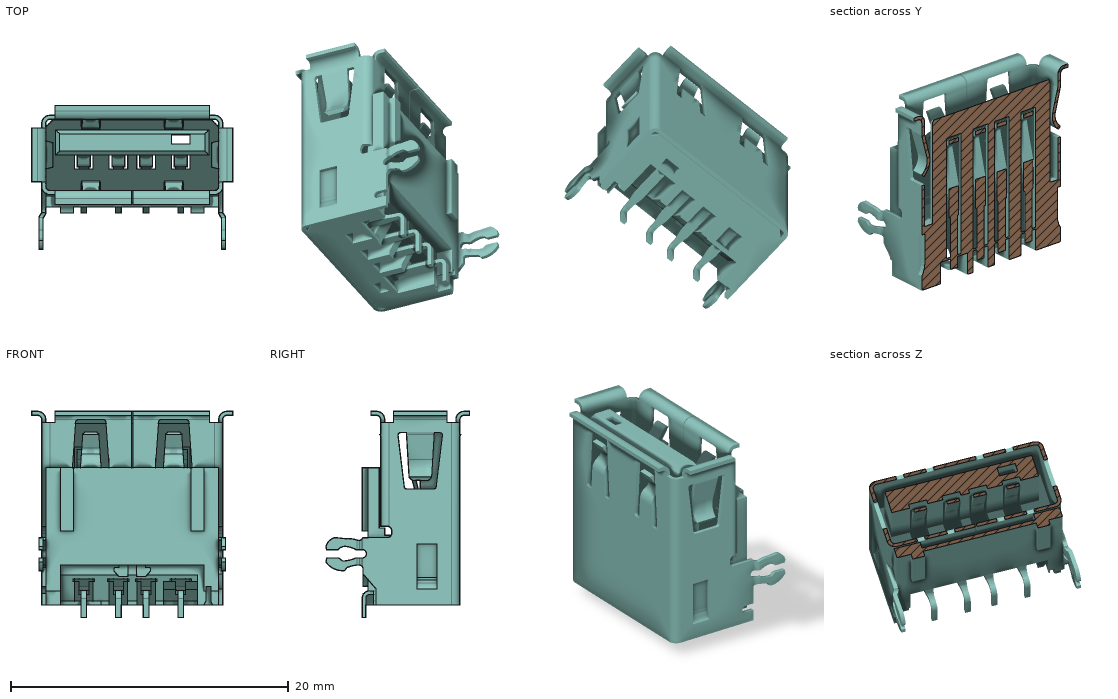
import cadquery as cq
import math


SHEET = 0.30
SHELL_X = 6.53
SHELL_Y = 2.86
WALL_X = SHELL_X - SHEET
WALL_Y = SHELL_Y - SHEET
SHELL_TOP = 13.17
CORNER_RADIUS = 0.60
FRONT_WALL_BOTTOM = 5.67
SEAM_WIDTH = 0.08

FLANGE_TOP = 13.97
FLANGE_REACH_X = 7.25
FLANGE_REACH_Y = 3.56
FLANGE_HALF_X = 5.58
FLANGE_HALF_Y = 1.94
FLANGE_BEND = 0.45

PLATE_FRONT = -4.14
PLATE_TOP = 4.86
RELIEF_BACK = -2.07
NOTCH_BACK = -3.18
NOTCH_BOTTOM = 0.82
NOTCH_TOP = 1.35
CUTBACK_TOP = 2.25
CUTBACK_BOTTOM = 1.15

SIDE_WINDOW_TOP = 12.42
SIDE_WINDOW_BOTTOM = 8.37
SIDE_WINDOW_HALF_TOP = 1.62
SIDE_WINDOW_HALF_BOTTOM = 1.13
FACE_WINDOW_X = 2.99
FACE_WINDOW_TOP = 13.36
FACE_WINDOW_BOTTOM = 8.40
FACE_WINDOW_HALF_TOP = 1.08
FACE_WINDOW_HALF_BOTTOM = 1.43
WINDOW_RADIUS = 0.18

LANCE_BOTTOM = 1.17
LANCE_TOP = 4.40
LANCE_BACK = 1.20
LANCE_FRONT = -0.22

LEG_OFFSET = 0.20
LEG_TIP = -6.81
LEG_SLOT_LOW = 3.40
LEG_SLOT_HIGH = 3.98
LEG_SLOT_RADIUS = (LEG_SLOT_HIGH - LEG_SLOT_LOW) / 2
LEG_SLOT_END = -3.89 - LEG_SLOT_RADIUS

BASE_TOP = 5.04
BASE_BACK = 2.52
TONGUE_X = 5.53
TONGUE_BACK = 1.81
TONGUE_FRONT = -0.02
TONGUE_TOP = 13.48
TONGUE_CHAMFER = 0.30
TONGUE_CHAMFER_RISE = 0.41
HOLE_FRONT = 0.80
HOLE_BACK = 1.45

COVER_FRONT = -3.77
COVER_BACK = -2.95
COVER_TOP = 9.90
COVER_JOIN = 5.56
COVER_WEB_BACK = -3.45
COVER_WEB_HALF = 4.24
RECESS_HALF = 5.18
RECESS_TOP = 2.88
FOOT_FRONT = -3.37
FOOT_STEP = 1.00
RIB_WIDTH = 0.95
RIB_FRONT = -4.20
RIB_BOTTOM = 5.32

UNDERCUT_TOP = 2.18
UNDERCUT_BACK = -1.42
UNDERCUT_END = 4.72
RIM_HEIGHT = 0.28
RIM_INNER = 2.25
RIM_FRONT = -1.50
RIM_DEPTH = 0.25
POCKET_STEP = 1.11
POCKET_BACK = 0.60

CONTACT_X = (-3.49, -1.0, 1.0, 3.49)
CONTACT_SHEET = 0.27
CONTACT_WIDTH = 0.95
STEM_WIDTH = 0.72
PIN_WIDTH = 0.42
PIN_FRONT = -4.20
PIN_BOTTOM = FLANGE_TOP - 14.88
TAIL_TOP = 1.03
STEM_Y = 0.25
SLOT_WIDTH = 1.32
SLOT_FRONT = -1.01
SLOT_BACK = 0.30
SLOT_TOP = 11.40
MOUTH_TOP = 1.70
SHOULDER_TOP = 1.88
SHOULDER_WIDTH = 1.55


def box(x0, x1, y0, y1, z0, z1):
    size = (x1 - x0, y1 - y0, z1 - z0)
    return cq.Workplane("XY").box(*size, centered=False).translate((x0, y0, z0))


def mirrored_x(shape):
    return shape.union(shape.mirror("YZ"))


def mirrored_y(shape):
    return shape.union(shape.mirror("XZ"))


def unit(start, end):
    length = math.dist(start, end)
    return ((end[0] - start[0]) / length, (end[1] - start[1]) / length)


def bent_strip(plane, points, radii, thickness, width):
    """Sheet strip along a polyline; each inner corner is bent to its mid-sheet radius."""
    headings = [unit(a, b) for a, b in zip(points, points[1:])]

    def side(offset):
        def shift(point, heading, distance):
            return (point[0] - heading[1] * distance, point[1] + heading[0] * distance)

        path = [[shift(points[0], headings[0], offset)]]
        for corner, before, after, radius in zip(points[1:-1], headings, headings[1:], radii):
            turn = math.atan2(
                before[0] * after[1] - before[1] * after[0],
                before[0] * after[0] + before[1] * after[1],
            )
            run = radius * math.tan(abs(turn) / 2)
            start = (corner[0] - before[0] * run, corner[1] - before[1] * run)
            end = (corner[0] + after[0] * run, corner[1] + after[1] * run)
            center = shift(start, before, math.copysign(radius, turn))
            bisector = unit(center, corner)
            bend = radius - offset * math.copysign(1, turn)
            middle = (center[0] + bisector[0] * bend, center[1] + bisector[1] * bend)
            path.append([shift(start, before, offset), middle, shift(end, after, offset)])
        path.append([shift(points[-1], headings[-1], offset)])
        return path

    left = side(thickness / 2)
    right = [step[::-1] for step in side(-thickness / 2)[::-1]]
    sketch = cq.Workplane(plane).moveTo(*left[0][0])
    for step in left[1:] + right:
        sketch = sketch.lineTo(*step[0])
        if len(step) == 3:
            sketch = sketch.threePointArc(step[1], step[2])
    return sketch.close().extrude(width / 2, both=True)



def shell_tube():
    outer = box(-SHELL_X, SHELL_X, -SHELL_Y, SHELL_Y, 0, SHELL_TOP).edges("|Z").fillet(CORNER_RADIUS)
    inner = box(-WALL_X, WALL_X, -WALL_Y, WALL_Y, 0, SHELL_TOP).edges("|Z").fillet(CORNER_RADIUS - SHEET)
    tube = outer.cut(inner)
    lower_front = box(-SHELL_X, SHELL_X, -SHELL_Y, CORNER_RADIUS - SHELL_Y, 0, FRONT_WALL_BOTTOM)
    relief = box(-SHELL_X, SHELL_X, -SHELL_Y - 1, RELIEF_BACK, PLATE_TOP, FRONT_WALL_BOTTOM)
    relief = relief.edges(">Y and |X").fillet(SHEET)
    return tube.cut(lower_front).cut(relief)


def flanges():
    mid_z = FLANGE_TOP - SHEET / 2
    mid_y = SHELL_Y - SHEET / 2
    mid_x = SHELL_X - SHEET / 2
    start = SHELL_TOP - SHEET
    back = bent_strip(
        "YZ", [(mid_y, start), (mid_y, mid_z), (FLANGE_REACH_Y, mid_z)],
        [FLANGE_BEND], SHEET, 2 * FLANGE_HALF_X,
    )
    side = bent_strip(
        "XZ", [(mid_x, start), (mid_x, mid_z), (FLANGE_REACH_X, mid_z)],
        [FLANGE_BEND], SHEET, 2 * FLANGE_HALF_Y,
    )
    return mirrored_y(back).union(mirrored_x(side))


def trapezoid(plane, half_bottom, half_top, bottom, top):
    """Upright trapezoidal prism running right through the shell, centred on the plane."""
    outline = [(-half_bottom, bottom), (half_bottom, bottom), (half_top, top), (-half_top, top)]
    return cq.Workplane(plane).polyline(outline).close().extrude(2 * SHELL_X, both=True)


def side_springs():
    """Spring fingers hanging in the side windows, bowed inward and curled out at the tip."""
    mid_x = SHELL_X - SHEET / 2
    root_z = SIDE_WINDOW_TOP + 0.18
    bow = (5.70, 9.70)
    tip = (6.42, 9.10)
    half_tip = 0.80
    half_root = 1.02
    lowest = 8.96
    tip_chamfer = 0.24
    path = [(mid_x, root_z), (mid_x, SIDE_WINDOW_TOP - 0.06), bow, tip]
    strip = bent_strip("XZ", path, [0.20, 1.35], SHEET, 2 * half_root + SHEET)
    outline = trapezoid("YZ", half_tip, half_root, lowest, root_z)
    outline = outline.edges("<Z and |X").chamfer(tip_chamfer)
    return mirrored_x(strip.intersect(outline))


def face_springs():
    """Spring fingers standing in the front and back windows, bowed inward and flared at the tip."""
    mid_y = SHELL_Y - SHEET / 2
    root_z = FACE_WINDOW_BOTTOM - 0.20
    bend_z = 10.48
    bow = (-1.85, 11.02)
    tip = (-2.80, 12.37)
    half_root = 0.86
    half_tip = 0.57
    highest = 12.48
    tip_chamfer = 0.16
    path = [(-mid_y, root_z), (-mid_y, bend_z), bow, tip]
    strip = bent_strip("YZ", path, [0.82, 0.43], SHEET, 2 * half_root + SHEET)
    outline = trapezoid("XZ", half_root, half_tip, root_z, highest)
    outline = outline.edges(">Z and |Y").chamfer(tip_chamfer)
    spring = strip.intersect(outline).translate((FACE_WINDOW_X, 0, 0))
    return mirrored_y(mirrored_x(spring))


def plate_notch():
    """Round-ended slot in the front edge of the -X side plate."""
    radius = (NOTCH_TOP - NOTCH_BOTTOM) / 2
    center_y = NOTCH_BACK - radius
    center_z = (NOTCH_TOP + NOTCH_BOTTOM) / 2
    round_end = cq.Workplane("YZ").center(center_y, center_z).circle(radius).extrude(-2 * SHELL_X)
    return round_end.union(box(-2 * SHELL_X, 0, 2 * PLATE_FRONT, center_y, NOTCH_BOTTOM, NOTCH_TOP))


def plate_cutback():
    """Sloped removal of the lower front corner of the +X side plate."""
    outline = [
        (PLATE_FRONT, 0), (NOTCH_BACK, 0), (NOTCH_BACK, CUTBACK_BOTTOM), (PLATE_FRONT, CUTBACK_TOP),
    ]
    return cq.Workplane("YZ").polyline(outline).close().extrude(2 * SHELL_X)


def side_plates():
    plate = box(WALL_X, SHELL_X, PLATE_FRONT, 0, 0, PLATE_TOP)
    return mirrored_x(plate).cut(plate_notch()).cut(plate_cutback())


def board_leg():
    """Two-pronged snap leg, jogged outward from the side plate."""
    root_y = -3.6
    root_bottom = 2.69
    tip_corner = LEG_TIP + 0.06
    outline = (
        cq.Workplane("YZ").moveTo(root_y, PLATE_TOP)
        .lineTo(PLATE_FRONT, PLATE_TOP)
        .threePointArc((-4.28, 4.70), (-4.50, 4.67))
        .threePointArc((-4.95, 4.78), (-5.40, 4.79))
        .lineTo(-6.15, 4.87)
        .threePointArc((-6.60, 4.60), (LEG_TIP, 4.20))
        .lineTo(tip_corner, LEG_SLOT_HIGH)
        .lineTo(-5.92, LEG_SLOT_HIGH)
        .threePointArc((-5.65, 4.18), (-5.40, 4.22))
        .threePointArc((-5.0, 4.14), (-4.62, LEG_SLOT_HIGH))
        .lineTo(LEG_SLOT_END, LEG_SLOT_HIGH)
        .lineTo(LEG_SLOT_END, LEG_SLOT_LOW)
        .lineTo(-4.65, LEG_SLOT_LOW)
        .threePointArc((-5.10, 3.24), (-5.60, 3.18))
        .lineTo(-5.88, LEG_SLOT_LOW)
        .lineTo(tip_corner, LEG_SLOT_LOW)
        .lineTo(LEG_TIP, 3.10)
        .threePointArc((-6.25, 2.62), (-5.46, 2.47))
        .lineTo(-5.28, 2.70)
        .threePointArc((-4.95, 2.80), (-4.50, 2.88))
        .threePointArc((-4.25, 2.82), (PLATE_FRONT, root_bottom))
        .lineTo(root_y, root_bottom).close().extrude(2 * SHELL_X)
    )
    mid_x = SHELL_X - SHEET / 2
    jog_start = PLATE_FRONT - 0.08
    jog_end = jog_start - 0.29
    bend = 0.2
    strip = bent_strip(
        "XY",
        [(mid_x, root_y), (mid_x, jog_start), (mid_x + LEG_OFFSET, jog_end),
         (mid_x + LEG_OFFSET, LEG_TIP)],
        [bend, bend], SHEET, 2 * PLATE_TOP,
    )
    return strip.intersect(outline)


def leg_slot():
    center_z = (LEG_SLOT_LOW + LEG_SLOT_HIGH) / 2
    return mirrored_x(
        cq.Workplane("YZ").center(LEG_SLOT_END, center_z).circle(LEG_SLOT_RADIUS).extrude(2 * SHELL_X)
    )


def lance_recess():
    """Side wall opening whose lower lip curves inward."""
    lip_top = LANCE_BOTTOM + 0.83
    lip_x = WALL_X + 0.03
    bevel_x = WALL_X + 0.10
    profile = (
        cq.Workplane("XZ").moveTo(SHELL_X, LANCE_TOP)
        .lineTo(WALL_X, LANCE_TOP)
        .lineTo(WALL_X, lip_top)
        .lineTo(lip_x, lip_top)
        .lineTo(lip_x, lip_top - 0.20)
        .lineTo(bevel_x, lip_top - 0.41)
        .threePointArc((WALL_X + 0.18, LANCE_BOTTOM + 0.18), (SHELL_X, LANCE_BOTTOM))
        .close().extrude(LANCE_BACK - LANCE_FRONT).translate((0, LANCE_BACK, 0))
    )
    return mirrored_x(profile)


def make_shell():
    shell = shell_tube().union(flanges())
    side_window = trapezoid(
        "YZ", SIDE_WINDOW_HALF_BOTTOM, SIDE_WINDOW_HALF_TOP, SIDE_WINDOW_BOTTOM, SIDE_WINDOW_TOP,
    ).edges("|X").fillet(WINDOW_RADIUS)
    face_window = trapezoid(
        "XZ", FACE_WINDOW_HALF_BOTTOM, FACE_WINDOW_HALF_TOP, FACE_WINDOW_BOTTOM, FACE_WINDOW_TOP,
    ).edges("|Y").fillet(WINDOW_RADIUS).translate((FACE_WINDOW_X, 0, 0))
    shell = shell.cut(side_window).cut(mirrored_x(face_window))
    seam = box(-SEAM_WIDTH / 2, SEAM_WIDTH / 2, -2 * SHELL_Y, 0, 0, FLANGE_TOP)
    shell = shell.cut(seam).union(side_springs()).union(face_springs())
    shell = shell.union(side_plates())
    return shell.union(mirrored_x(board_leg())).cut(leg_slot()).cut(lance_recess())



def tongue():
    upright = box(-TONGUE_X, TONGUE_X, TONGUE_FRONT, TONGUE_BACK, MOUTH_TOP, TONGUE_TOP)
    return upright.faces(">Z").chamfer(TONGUE_CHAMFER_RISE, TONGUE_CHAMFER)


def base():
    back_corner = 0.5
    block = box(-WALL_X, WALL_X, -WALL_Y, BASE_BACK, 0, BASE_TOP)
    block = block.edges("|Z and >Y").chamfer(back_corner)
    undercut = (
        cq.Workplane("YZ").moveTo(-WALL_Y, 0).lineTo(UNDERCUT_BACK, 0)
        .lineTo(UNDERCUT_BACK, RIM_HEIGHT).lineTo(-WALL_Y, UNDERCUT_TOP).close()
        .extrude(RECESS_HALF + UNDERCUT_END).translate((-RECESS_HALF, 0, 0))
    )
    upper_pocket = box(RIM_INNER, UNDERCUT_END, -WALL_Y, SLOT_BACK, 0, MOUTH_TOP)
    lower_pocket = box(RIM_INNER, UNDERCUT_END, -WALL_Y, POCKET_BACK, 0, POCKET_STEP)
    return block.cut(undercut).cut(upper_pocket).cut(lower_pocket)


def rims():
    left = box(-RECESS_HALF, -RIM_INNER, RIM_FRONT, RIM_FRONT + RIM_DEPTH, 0, RIM_HEIGHT)
    right = box(RIM_INNER, UNDERCUT_END, POCKET_BACK - RIM_DEPTH, POCKET_BACK, 0, RIM_HEIGHT)
    return left.union(right)


def cover():
    lower = box(-WALL_X, WALL_X, COVER_FRONT, -WALL_Y, 0, COVER_JOIN)
    upper = box(-WALL_X, WALL_X, COVER_FRONT, COVER_BACK, COVER_JOIN, COVER_TOP)
    web_relief = box(-COVER_WEB_HALF, COVER_WEB_HALF, COVER_WEB_BACK, COVER_BACK, COVER_JOIN, COVER_TOP)
    recess = box(-RECESS_HALF, RECESS_HALF, COVER_FRONT, -WALL_Y, 0, RECESS_TOP)
    foot_step = box(-WALL_X, WALL_X, COVER_FRONT, FOOT_FRONT, 0, FOOT_STEP)
    rib = box(RECESS_HALF - RIB_WIDTH, RECESS_HALF, RIB_FRONT, COVER_FRONT, RIB_BOTTOM, COVER_TOP)
    return lower.union(upper.cut(web_relief)).cut(recess).cut(foot_step).union(mirrored_x(rib))


def foot_slot():
    """Narrow slot with a flared mouth in the foot at the +X end, open inward below the foot step."""
    slot_x = 5.48
    half_width = 0.18
    half_mouth = 0.31
    top = 1.35
    back = FOOT_FRONT + 1.0
    outline = [
        (slot_x - half_mouth, 0), (slot_x - half_width, RIM_HEIGHT), (slot_x - half_width, top),
        (slot_x + half_width, top), (slot_x + half_width, RIM_HEIGHT), (slot_x + half_mouth, 0),
    ]
    slot = cq.Workplane("XZ", origin=(0, back, 0)).polyline(outline).close().extrude(back - COVER_FRONT)
    return slot.union(box(RECESS_HALF, slot_x, COVER_FRONT, -WALL_Y, 0, FOOT_STEP))


def center_tabs():
    """Pair of hooked tabs on the base face, either side of the middle."""
    thickness = 0.12
    outline = [
        (0.31, 2.05), (0.97, 2.05), (1.33, 2.47), (1.33, 2.62), (1.24, 2.72),
        (0.97, 2.72), (0.97, RECESS_TOP), (0.31, RECESS_TOP),
    ]
    tab = cq.Workplane("XZ").polyline(outline).close().extrude(thickness).translate((0, -WALL_Y, 0))
    return mirrored_x(tab)


def contact_slot(x):
    half = SLOT_WIDTH / 2
    groove = box(x - half, x + half, SLOT_FRONT, SLOT_BACK, 0, SLOT_TOP)
    mouth = box(x - half, x + half, -WALL_Y, SLOT_FRONT, 0, MOUTH_TOP)
    wide = SHOULDER_WIDTH / 2
    shoulder = box(x - wide, x + wide, -WALL_Y, SLOT_FRONT, MOUTH_TOP, SHOULDER_TOP)
    return groove.union(mouth).union(shoulder)


def make_insulator():
    body = base().union(tongue()).union(cover()).union(center_tabs()).cut(foot_slot())
    for x in CONTACT_X:
        body = body.cut(contact_slot(x))
    slot_half = SLOT_WIDTH / 2
    hole = box(CONTACT_X[-1] - slot_half, CONTACT_X[-1] + slot_half, HOLE_FRONT, HOLE_BACK, 0, TONGUE_TOP)
    return body.cut(hole).union(rims())



def make_contact():
    """Contact with a bowed spring in the tongue and a tail turned down into a pin."""
    split_z = 5.0
    spring_top = (0.20, 11.10)
    bulge = (-0.77, 10.25)
    stem_top = (STEM_Y, 6.30)
    spring = bent_strip(
        "YZ", [spring_top, bulge, stem_top, (STEM_Y, split_z)],
        [0.30, 0.50], CONTACT_SHEET, CONTACT_WIDTH,
    )
    tail_z = TAIL_TOP - CONTACT_SHEET / 2
    pin_y = PIN_FRONT + CONTACT_SHEET / 2
    stem = bent_strip(
        "YZ", [(STEM_Y, split_z), (STEM_Y, tail_z), (pin_y, tail_z), (pin_y, PIN_BOTTOM)],
        [0.45, 0.42], CONTACT_SHEET, STEM_WIDTH,
    )
    shoulder_half = SHOULDER_WIDTH / 2
    shoulder_y = CONTACT_SHEET / 2
    shoulder = box(
        -shoulder_half, shoulder_half, STEM_Y - shoulder_y, STEM_Y + shoulder_y, MOUTH_TOP, SHOULDER_TOP,
    )
    taper_start = -2.3
    taper_end = -3.55
    half = STEM_WIDTH / 2
    pin_half = PIN_WIDTH / 2
    plan_back = 1.0
    plan = (
        cq.Workplane("XY").workplane(offset=PIN_BOTTOM).moveTo(-half, plan_back)
        .lineTo(-half, taper_start)
        .spline([(-pin_half, taper_end)], tangents=[(0, -1), (0, -1)], includeCurrent=True)
        .lineTo(-pin_half, PIN_FRONT).lineTo(pin_half, PIN_FRONT).lineTo(pin_half, taper_end)
        .spline([(half, taper_start)], tangents=[(0, 1), (0, 1)], includeCurrent=True)
        .lineTo(half, plan_back).close().extrude(split_z - PIN_BOTTOM)
    )
    return spring.union(stem.intersect(plan)).union(shoulder)


result = make_shell().union(make_insulator())
for contact_x in CONTACT_X:
    result = result.union(make_contact().translate((contact_x, 0, 0)))